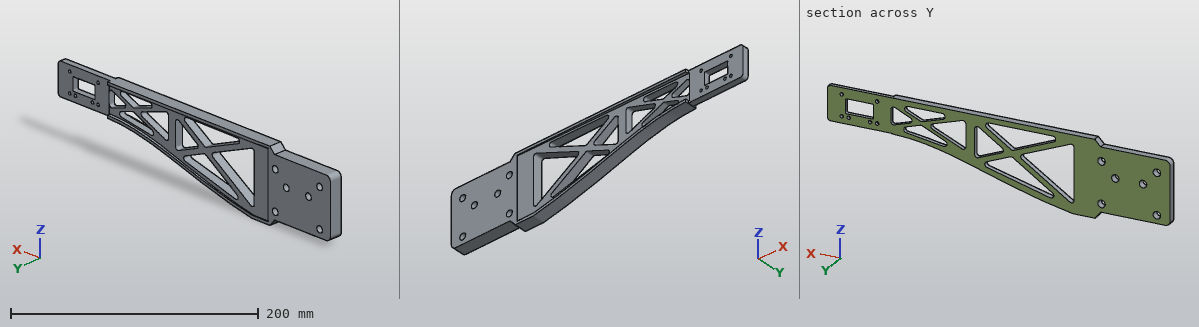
import cadquery as cq

LENGTH = 309.95
HEIGHT = 70.0
THICKNESS = 12.7

PLATE_LENGTH = 62.9
PLATE_BOTTOM = 6.4
PLATE_TOP = 64.3
PLATE_CORNER_RADIUS = 5.0
RAMP_LENGTH = 5.4
MOUNT_HOLE_DIAMETER = 6.35
MOUNT_HOLE_PITCH = 12.5
MOUNT_HOLE_FIRST = (12.25, 14.0)
MOUNT_HOLE_STEPS = [(0, 0), (4, 0), (1, 2), (3, 2), (0, 3), (4, 3)]

TIP_START = 251.3
TIP_HEIGHT = 31.75
TIP_THICKNESS = THICKNESS / 2
TIP_CORNER_RADIUS = 3.175
TIP_BOTTOM = HEIGHT - TIP_HEIGHT

DEVICE_CENTER = (280.9, 54.2)
DEVICE_WINDOW = (25.0, 12.8)
DEVICE_WINDOW_RADIUS = 0.8
SCREW_HOLE_DIAMETER = 2.71
OUTER_SCREW_SPACING = 32.0
INNER_SCREW_SPACING = 19.2
SCREW_ROW_SPACING = 19.4

BODY_START = PLATE_LENGTH + RAMP_LENGTH
TIP_STEP = 0.4
CURVE_START = (88.0, 0.0)
CURVE_MIDDLE = [(119.5, 6.9), (160.6, 18.5), (209.0, 32.4)]
CURVE_END = (TIP_START, TIP_BOTTOM - TIP_STEP)

RIM_WIDTH = 2.8
POCKET_START = 70.3
POCKET_END = 252.3
POCKET_DEPTH_AT_START = 1.0
POCKET_DEPTH_AT_END = 3.35

BAY_MARGIN = 5.08
BAY_TOP = HEIGHT - BAY_MARGIN
BAY_CORNER_RADIUS = 2.4
LARGE_BAY = (87.1, 176.7, 4.6, 28.7, 5.08, 0.0)
SMALL_BAY = (185.0, POCKET_END, 33.3, 44.0, 3.175, 1.1)


def front_plane(y):
    """Plane at the given Y, with X right and Z up, that extrudes toward -Y."""
    return cq.Workplane(cq.Plane(origin=(0, y, 0), xDir=(1, 0, 0), normal=(0, -1, 0)))


def through(sketch_of):
    """Solid of the full thickness whose outline is drawn by sketch_of."""
    return sketch_of(front_plane(THICKNESS / 2)).extrude(THICKNESS)


def body_outline(plane):
    return (
        plane.moveTo(0, PLATE_BOTTOM)
        .lineTo(PLATE_LENGTH, PLATE_BOTTOM)
        .lineTo(BODY_START, 0)
        .lineTo(*CURVE_START)
        .spline([*CURVE_MIDDLE, CURVE_END], includeCurrent=True)
        .lineTo(TIP_START, HEIGHT)
        .lineTo(BODY_START, HEIGHT)
        .lineTo(PLATE_LENGTH, PLATE_TOP)
        .lineTo(0, PLATE_TOP)
        .close()
    )


def arm_body():
    return through(body_outline).edges("|Y and <X").fillet(PLATE_CORNER_RADIUS)


def tip_plate():
    length = LENGTH - TIP_START
    plate = cq.Workplane("XY").box(length, TIP_THICKNESS, TIP_HEIGHT, centered=(False, True, False))
    plate = plate.edges("|Y and >X").fillet(TIP_CORNER_RADIUS)
    return plate.translate((TIP_START, 0, TIP_BOTTOM))


def pocket_outline(plane):
    raised_curve = [(x, z + RIM_WIDTH) for x, z in [*CURVE_MIDDLE, CURVE_END]]
    return (
        plane.moveTo(POCKET_START, RIM_WIDTH)
        .lineTo(CURVE_START[0], RIM_WIDTH)
        .spline(raised_curve, includeCurrent=True)
        .lineTo(POCKET_END, raised_curve[-1][1])
        .lineTo(POCKET_END, HEIGHT - RIM_WIDTH)
        .lineTo(POCKET_START, HEIGHT - RIM_WIDTH)
        .close()
    )


def tapered_web():
    """Wedge left between the two sloping recess floors."""
    half_start = THICKNESS / 2 - POCKET_DEPTH_AT_START
    half_end = THICKNESS / 2 - POCKET_DEPTH_AT_END
    plan = [
        (POCKET_START, -half_start),
        (POCKET_END, -half_end),
        (POCKET_END, half_end),
        (POCKET_START, half_start),
    ]
    return cq.Workplane("XY").polyline(plan).close().extrude(HEIGHT)


def face_pockets():
    return through(pocket_outline).cut(tapered_web())


def strut(start, end, width):
    """Bar of the given width whose centre line runs from start to end."""
    a = cq.Vector(*start)
    b = cq.Vector(*end)
    direction = (b - a).normalized()
    side = cq.Vector(-direction.y, direction.x) * (width / 2)
    overrun = direction * width
    corners = [a - overrun + side, b + overrun + side, b + overrun - side, a - overrun - side]
    return through(lambda plane: plane.polyline([(p.x, p.y) for p in corners]).close())


def bay_openings(left, right, bottom_left, bottom_right, strut_width, foot_rise):
    """Four rounded triangles left between the diagonals of one bay."""
    low_left = (left, bottom_left)
    low_right = (right, bottom_right)
    top_right = (right, BAY_TOP)
    top_left = (left, BAY_TOP)
    openings = through(lambda plane: plane.polyline([low_left, low_right, top_right, top_left]).close())
    rising_foot = (left, bottom_left + foot_rise)
    openings = openings.cut(strut(rising_foot, top_right, strut_width))
    openings = openings.cut(strut(top_left, low_right, strut_width))
    return openings.edges("|Y").fillet(BAY_CORNER_RADIUS)


def mount_holes():
    x0, z0 = MOUNT_HOLE_FIRST
    places = [(x0 + i * MOUNT_HOLE_PITCH, z0 + k * MOUNT_HOLE_PITCH) for i, k in MOUNT_HOLE_STEPS]
    return through(lambda plane: plane.pushPoints(places).circle(MOUNT_HOLE_DIAMETER / 2))


def device_window():
    window = through(lambda plane: plane.center(*DEVICE_CENTER).rect(*DEVICE_WINDOW))
    return window.edges("|Y").fillet(DEVICE_WINDOW_RADIUS)


def screw_holes():
    row = SCREW_ROW_SPACING / 2
    outer = OUTER_SCREW_SPACING / 2
    inner = INNER_SCREW_SPACING / 2
    upper_row = [(x, row) for x in (-outer, outer)]
    lower_row = [(x, -row) for x in (-outer, -inner, inner, outer)]
    places = upper_row + lower_row
    radius = SCREW_HOLE_DIAMETER / 2
    return through(lambda plane: plane.center(*DEVICE_CENTER).pushPoints(places).circle(radius))


result = (
    arm_body()
    .union(tip_plate())
    .cut(face_pockets())
    .cut(bay_openings(*LARGE_BAY))
    .cut(bay_openings(*SMALL_BAY))
    .cut(mount_holes())
    .cut(device_window())
    .cut(screw_holes())
)